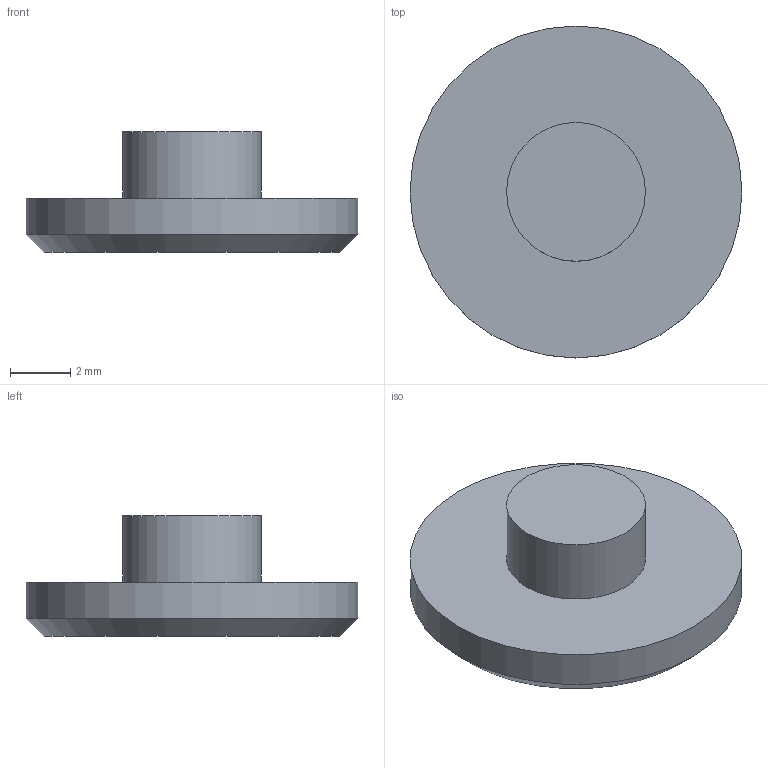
import cadquery as cq

total_height = 4.0
flange_diameter = 11.0
flange_thickness = 1.8
flange_chamfer = 0.6
pin_diameter = 4.6
pin_height = total_height - flange_thickness


def make_flange():
    """Round flange standing on Z = 0, with its bottom rim chamfered at 45 degrees."""
    disc = cq.Workplane("XY").circle(flange_diameter / 2).extrude(flange_thickness)
    return disc.faces("<Z").edges().chamfer(flange_chamfer)


def add_pin(body):
    """Solid pin centred on the top face of the flange."""
    return body.faces(">Z").workplane().circle(pin_diameter / 2).extrude(pin_height)


result = add_pin(make_flange())